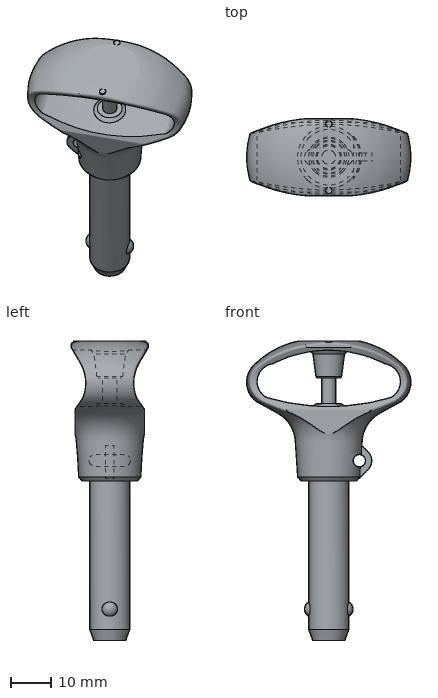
import cadquery as cq
import math


shank_radius = 5.0
shank_length = 39.6
tip_radius = 4.0
tip_length = 2.7

ball_radius = 2.0
ball_reach = 6.05
ball_z = -31.8

top_z = 34.8
top_flat_radius = 7.5
dome_mid = (13.7, 32.5)
dome_end = (18.35, 29.05)
rim_widest = (20.42, 24.4)
rim_end = (17.65, 19.5)
flare_start = (12.25, 16.55)
flare_mid = (9.4, 13.55)
collar_top = (8.35, 9.95)
collar_bottom_radius = 7.75
collar_chamfer = (0.85, 1.0)

crown_half_width = 9.6
crown_land_z = 33.2
waist_upper = (7.5, 29.6)
waist_mid = (6.0, 24.6)
waist_lower = (6.75, 20.5)
flank_half_width = 8.63
flank_top_z = 17.8
edge_round = 0.5

window_top_z = 32.5
window_upper = (13.9, 29.1)
window_widest = (17.75, 25.0)
window_lower = (15.6, 20.85)
window_bottom_z = 18.5

button_flare_radius = 4.7
button_flare_height = 1.0
button_top_radius = 3.95
button_bottom_radius = 3.2
button_bottom_z = 25.55
button_chamfer = 0.35
plunger_radius = 1.75
boss_base_radius = 4.2
boss_top_radius = 3.1
boss_height = 0.7

pin_radius = 0.8
pin_offset = 8.25
pin_length = 1.5

eye_x = 7.6
eye_z = 5.05
eye_hole_radius = 1.5
eye_outer_radius = 3.1
eye_thickness = 2.0
eye_root_depth = 2.0

overlap = 1.0
past_handle = 30.0
tolerance = 0.01


def mirrored(point):
    """Reflect a section point to the other side of the Z axis."""
    return (-point[0], point[1])


def make_envelope():
    """Solid of revolution: collar, flare, rim and dome, drawn on the -X side."""
    chamfer_width, chamfer_height = collar_chamfer
    return (
        cq.Workplane("XZ")
        .lineTo(chamfer_width - collar_bottom_radius, 0)
        .lineTo(-collar_bottom_radius, chamfer_height)
        .lineTo(*mirrored(collar_top))
        .threePointArc(mirrored(flare_mid), mirrored(flare_start))
        .lineTo(*mirrored(rim_end))
        .threePointArc(mirrored(rim_widest), mirrored(dome_end))
        .threePointArc(mirrored(dome_mid), (-top_flat_radius, top_z))
        .lineTo(0, top_z)
        .close()
        .revolve(360, (0, 0, 0), (0, 1, 0))
    )


def make_waisted_blank():
    """Long bar along X that narrows at finger height."""
    return (
        cq.Workplane("YZ")
        .moveTo(-flank_half_width, 0)
        .lineTo(flank_half_width, 0)
        .lineTo(flank_half_width, flank_top_z)
        .lineTo(*waist_lower)
        .threePointArc(waist_mid, waist_upper)
        .lineTo(crown_half_width, crown_land_z)
        .lineTo(crown_half_width, top_z)
        .lineTo(-crown_half_width, top_z)
        .lineTo(-crown_half_width, crown_land_z)
        .lineTo(*mirrored(waist_upper))
        .threePointArc(mirrored(waist_mid), mirrored(waist_lower))
        .lineTo(-flank_half_width, flank_top_z)
        .close()
        .extrude(past_handle, both=True)
    )


def make_window():
    """Oval opening through the handle along Y."""
    return (
        cq.Workplane("XZ")
        .moveTo(*window_lower)
        .threePointArc(window_widest, window_upper)
        .threePointArc((0, window_top_z), mirrored(window_upper))
        .threePointArc(mirrored(window_widest), mirrored(window_lower))
        .threePointArc((0, window_bottom_z), window_lower)
        .close()
        .extrude(past_handle, both=True)
    )


def is_outer_edge(edge):
    """True for the edges around the outside of the two waisted faces."""
    center = edge.Center()
    on_a_side = abs(center.y) > waist_mid[0] - edge_round
    above_flank = center.z > flank_top_z + tolerance
    on_flank_top = abs(center.z - flank_top_z) < tolerance
    level = edge.BoundingBox().zlen < tolerance
    return on_a_side and (on_flank_top or (above_flank and not level))


def make_handle():
    body = make_envelope().intersect(make_waisted_blank())
    outer_edges = [edge for edge in body.edges().vals() if is_outer_edge(edge)]
    body = body.newObject(outer_edges).fillet(edge_round)
    return body.cut(make_window())


def make_button():
    """Tapered button with a flared root under the crown and a chamfered lower end."""
    flare_bottom_z = window_top_z - button_flare_height
    root_z = window_top_z + overlap
    return (
        cq.Workplane("XZ")
        .moveTo(0, button_bottom_z)
        .lineTo(button_bottom_radius - button_chamfer, button_bottom_z)
        .lineTo(button_bottom_radius, button_bottom_z + button_chamfer)
        .lineTo(button_top_radius, flare_bottom_z)
        .lineTo(button_flare_radius, window_top_z)
        .lineTo(button_flare_radius, root_z)
        .lineTo(0, root_z)
        .close()
        .revolve(360, (0, 0, 0), (0, 1, 0))
    )


def make_cylinder(radius, bottom_z, height):
    return cq.Workplane("XY", origin=(0, 0, bottom_z)).circle(radius).extrude(height)


def make_boss():
    """Low conical boss around the plunger, rooted in the window floor."""
    return (
        cq.Workplane("XZ")
        .moveTo(0, window_bottom_z - overlap)
        .lineTo(boss_base_radius, window_bottom_z - overlap)
        .lineTo(boss_base_radius, window_bottom_z)
        .lineTo(boss_top_radius, window_bottom_z + boss_height)
        .lineTo(0, window_bottom_z + boss_height)
        .close()
        .revolve(360, (0, 0, 0), (0, 1, 0))
    )


def make_shank():
    """Straight shank with a tapered tip."""
    return (
        cq.Workplane("XZ")
        .moveTo(0, overlap)
        .lineTo(shank_radius, overlap)
        .lineTo(shank_radius, tip_length - shank_length)
        .lineTo(tip_radius, -shank_length)
        .lineTo(0, -shank_length)
        .close()
        .revolve(360, (0, 0, 0), (0, 1, 0))
    )


def make_eye():
    """Rounded tab whose straight sides leave the round end at 45 degrees."""
    tangent = eye_outer_radius / math.sqrt(2)
    return (
        cq.Workplane("XZ", origin=(eye_x, 0, eye_z))
        .moveTo(-eye_root_depth, -2 * tangent)
        .lineTo(0, -2 * tangent)
        .lineTo(tangent, -tangent)
        .threePointArc((eye_outer_radius, 0), (tangent, tangent))
        .lineTo(0, 2 * tangent)
        .lineTo(-eye_root_depth, 2 * tangent)
        .close()
        .extrude(eye_thickness / 2, both=True)
    )


def make_eye_hole():
    """Cord hole, which also cuts through the edge of the collar."""
    return (
        cq.Workplane("XZ", origin=(eye_x, 0, eye_z))
        .circle(eye_hole_radius)
        .extrude(past_handle, both=True)
    )


handle = make_handle()
result = handle.union(make_eye()).cut(make_eye_hole())

plunger_bottom_z = window_bottom_z - overlap
plunger_length = button_bottom_z + overlap - plunger_bottom_z
result = result.union(make_button())
result = result.union(make_boss())
result = result.union(make_cylinder(plunger_radius, plunger_bottom_z, plunger_length))

pin = make_cylinder(pin_radius, top_z - pin_length, pin_length)
ball = cq.Workplane("XY").sphere(ball_radius)
result = result.union(make_shank())
for side in (-1, 1):
    result = result.union(pin.translate((0, side * pin_offset, 0)))
    result = result.union(ball.translate((side * (ball_reach - ball_radius), 0, ball_z)))